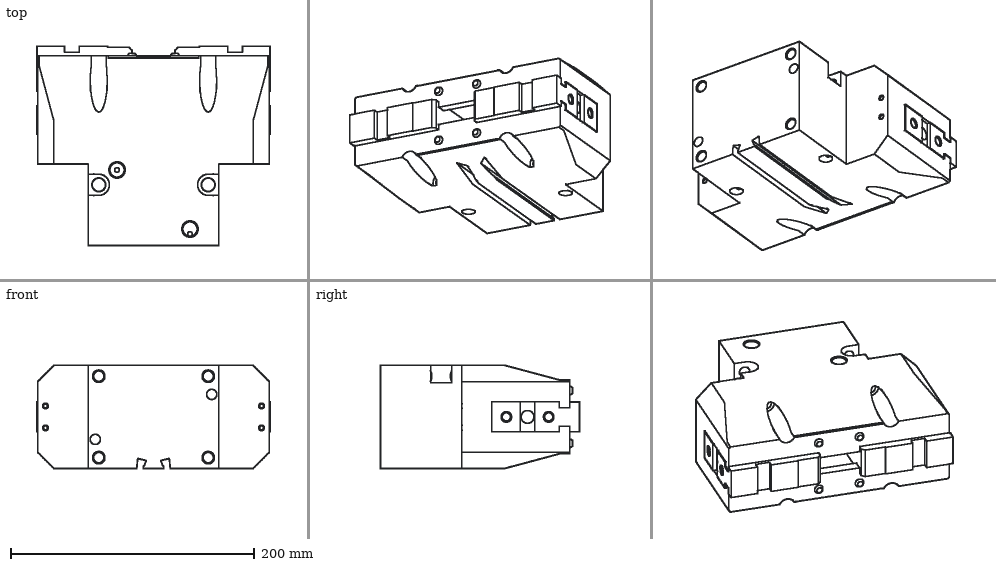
import cadquery as cq
import math

SIDES = (-1, 1)

housing_height = 85.0
half_height = housing_height / 2
head_half_width = 95.3
neck_half_width = 53.8
head_front_y = 67.0
housing_back_y = 156.0
corner_size = 13.4

nose_half_height = 30.5
nose_start_y = 147.2
taper_angle = 15.0
taper_start_y = nose_start_y - (half_height - nose_half_height) / math.tan(math.radians(taper_angle))

jaw_outer_x = 96.0
jaw_inner_x = 17.6
jaw_half_height = 12.4
jaw_slide_half_height = 7.6
jaw_bottom_y = 91.5
jaw_face_y = 164.0
jaw_face_inner_x = 37.7
jaw_relief = 0.7
jaw_nose_chamfer = 2.7
key_slot_x = 67.1
key_slot_width = 12.0
key_slot_depth = 4.8
side_slot_y = 121.1
side_slot_width = 12.0
side_slot_depth = 3.5
side_pin_diameter = 10.5
side_pin_depth = 12.0
side_screw_spacing = 34.8
side_thread_diameter = 6.8
side_thread_mouth = 8.6
side_thread_depth = 16.0

mount_x = 45.0
mount_z = 33.5
mount_core_diameter = 8.6
mount_mouth_diameter = 10.2
mount_bore_diameter = 14.0
mount_bore_bottom_y = 100.0

pocket_y = 50.0
pocket_radius = 8.7
pocket_depth = 14.3
pocket_hole_diameter = 11.0

dowel_x = 47.9
dowel_z = 18.5
dowel_diameter = 8.4
dowel_depth = 14.0

cover_screw_x = 88.9
cover_screw_z = 9.0
cover_thread_diameter = 3.3
cover_thread_mouth = 4.6
cover_thread_depth = 10.0

port_diameter = 11.8
port_mouth_diameter = 13.4
port_depth = 15.0
duct_diameter = 3.8
duct_depth = 10.0
air_ports = ((-30.0, 62.2, 0.0), (30.0, 13.6, -4.1))

sensor_groove_outline = ((13.7, 0), (12.9, 8.2), (6.2, 6.5), (7.4, 3.0), (8.5, 1.5), (8.5, 0))

edge_step_half_length = 37.3
edge_step_width = 2.1
edge_step_shoulder = 0.8
edge_step_depth = 0.3
button_x = 17.6
button_z = 21.7
button_radius = 3.6
button_flat_radius = 2.3
button_height = 2.1
button_mid_radius = 3.1
button_mid_height = 1.2

drill_tip_angle = 118.0


def drill(start, direction, diameter, depth, mouth=0.0):
    """Blind drilled hole with a conical bottom and, if mouth is given, a 45 degree countersink."""
    radius = diameter / 2
    tip = radius / math.tan(math.radians(drill_tip_angle / 2))
    vector = cq.Vector(*direction)
    origin = cq.Vector(*start)
    cutter = cq.Solid.makeCylinder(radius, depth, origin, vector)
    cutter = cutter.fuse(cq.Solid.makeCone(radius, 0, tip, origin + vector * depth, vector))
    if mouth:
        cutter = cutter.fuse(countersink(start, direction, diameter, mouth))
    return cutter


def countersink(start, direction, diameter, mouth):
    """45 degree cone from the mouth diameter down to the hole diameter."""
    depth = (mouth - diameter) / 2
    return cq.Solid.makeCone(mouth / 2, diameter / 2, depth, cq.Vector(*start), cq.Vector(*direction))


def block(x_range, y_range, z_range):
    """Axis-aligned box given by its limits."""
    low, high = zip(x_range, y_range, z_range)
    size = [b - a for a, b in zip(low, high)]
    return cq.Workplane("XY").box(*size, centered=False).translate(low)


def make_outer_shape():
    """Wide tapered head with bevelled corners, on a narrow mounting block."""
    head = (
        cq.Workplane("YZ")
        .polyline([
            (head_front_y, -half_height),
            (taper_start_y, -half_height),
            (nose_start_y, -nose_half_height),
            (housing_back_y, -nose_half_height),
            (housing_back_y, nose_half_height),
            (nose_start_y, nose_half_height),
            (taper_start_y, half_height),
            (head_front_y, half_height),
        ])
        .close()
        .extrude(head_half_width, both=True)
    )
    inner_x = head_half_width - corner_size
    inner_z = half_height - corner_size
    for side_x in SIDES:
        for side_z in SIDES:
            corner = (
                cq.Workplane("XZ")
                .polyline([
                    (side_x * inner_x, side_z * half_height),
                    (side_x * head_half_width, side_z * half_height),
                    (side_x * head_half_width, side_z * inner_z),
                ])
                .close()
                .extrude(-housing_back_y)
            )
            head = head.cut(corner)
    neck = block((-neck_half_width, neck_half_width), (0, head_front_y), (-half_height, half_height))
    return head.union(neck)


def cut_jaw_guide(body):
    """T-shaped guide for the jaws across the whole head."""
    wide = block(
        (-head_half_width, head_half_width),
        (jaw_bottom_y, nose_start_y),
        (-jaw_half_height, jaw_half_height),
    )
    narrow = block(
        (-head_half_width, head_half_width),
        (nose_start_y, housing_back_y),
        (-jaw_slide_half_height, jaw_slide_half_height),
    )
    return body.cut(wide).cut(narrow)


def cut_mounting_holes(body):
    """Four holes along Y, each with a threaded front end and a wide screw bore from the rear."""
    forward = (0, 1, 0)
    for side_x in SIDES:
        for side_z in SIDES:
            x = side_x * mount_x
            z = side_z * mount_z
            core = cq.Solid.makeCylinder(
                mount_core_diameter / 2, housing_back_y, cq.Vector(x, 0, z), cq.Vector(*forward)
            )
            bore = cq.Solid.makeCylinder(
                mount_bore_diameter / 2,
                housing_back_y - mount_bore_bottom_y,
                cq.Vector(x, mount_bore_bottom_y, z),
                cq.Vector(*forward),
            )
            mouth = countersink((x, 0, z), forward, mount_core_diameter, mount_mouth_diameter)
            body = body.cut(cq.Workplane(core)).cut(cq.Workplane(bore)).cut(cq.Workplane(mouth))
    return body


def cut_side_pockets(body):
    """Round-ended screw pockets open to the sides of the neck, with vertical through holes."""
    floor_z = half_height - pocket_depth
    for side in SIDES:
        x = side * mount_x
        round_end = cq.Workplane("XY", origin=(x, pocket_y, floor_z)).circle(pocket_radius).extrude(pocket_depth)
        opening = block(
            sorted((x, side * neck_half_width)),
            (pocket_y - pocket_radius, pocket_y + pocket_radius),
            (floor_z, half_height),
        )
        through = (
            cq.Workplane("XY", origin=(x, pocket_y, -half_height))
            .circle(pocket_hole_diameter / 2)
            .extrude(housing_height)
        )
        body = body.cut(round_end.union(opening)).cut(through)
    return body


def cut_front_holes(body):
    """Two diagonal dowel holes in the mounting face and four cover screw holes in the shoulders."""
    forward = (0, 1, 0)
    for side in SIDES:
        dowel = drill((side * dowel_x, 0, side * dowel_z), forward, dowel_diameter, dowel_depth)
        body = body.cut(cq.Workplane(dowel))
        for side_z in SIDES:
            start = (side * cover_screw_x, head_front_y, side_z * cover_screw_z)
            screw = drill(start, forward, cover_thread_diameter, cover_thread_depth, cover_thread_mouth)
            body = body.cut(cq.Workplane(screw))
    return body


def cut_air_ports(body):
    """Countersunk flat-bottomed ports in the top face, each with a small duct in its floor."""
    down = (0, 0, -1)
    for x, y, duct_offset in air_ports:
        top = (x, y, half_height)
        port = cq.Solid.makeCylinder(port_diameter / 2, port_depth, cq.Vector(*top), cq.Vector(*down))
        mouth = countersink(top, down, port_diameter, port_mouth_diameter)
        duct = drill((x, y + duct_offset, half_height - port_depth), down, duct_diameter, duct_depth)
        body = body.cut(cq.Workplane(port)).cut(cq.Workplane(mouth)).cut(cq.Workplane(duct))
    return body


def cut_sensor_grooves(body):
    """Two mirrored undercut grooves along the whole bottom face."""
    for side in SIDES:
        outline = [(side * x, height - half_height) for x, height in sensor_groove_outline]
        groove = cq.Workplane("XZ").polyline(outline).close().extrude(-housing_back_y)
        body = body.cut(groove)
    return body


def cut_edge_steps(body):
    """Shallow step with a sloped shoulder along the rear top and bottom edges."""
    shoulder_y = housing_back_y - edge_step_width
    for side in SIDES:
        top_z = side * nose_half_height
        floor_z = side * (nose_half_height - edge_step_depth)
        step = (
            cq.Workplane("YZ")
            .polyline([
                (shoulder_y, top_z),
                (shoulder_y + edge_step_shoulder, floor_z),
                (housing_back_y, floor_z),
                (housing_back_y, top_z),
            ])
            .close()
            .extrude(edge_step_half_length, both=True)
        )
        body = body.cut(step)
    return body


def add_button_heads(body):
    """Four rounded screw heads on the rear face, beside the jaw guide."""
    button = (
        cq.Workplane("XY")
        .moveTo(0, 0)
        .lineTo(button_radius, 0)
        .threePointArc((button_mid_radius, button_mid_height), (button_flat_radius, button_height))
        .lineTo(0, button_height)
        .close()
        .revolve(360, (0, 0, 0), (0, 1, 0))
    )
    for side_x in SIDES:
        for side_z in SIDES:
            body = body.union(button.translate((side_x * button_x, housing_back_y, side_z * button_z)))
    return body


def make_housing():
    body = make_outer_shape()
    body = cut_jaw_guide(body)
    body = cut_mounting_holes(body)
    body = cut_side_pockets(body)
    body = cut_front_holes(body)
    body = cut_air_ports(body)
    body = cut_sensor_grooves(body)
    body = cut_edge_steps(body)
    return add_button_heads(body)


def make_jaw(side):
    """T-shaped jaw; side is -1 for the jaw at negative X and 1 for its mirror image."""
    relief_y = jaw_face_y - jaw_relief
    key_floor_y = jaw_face_y - key_slot_depth
    key_outer_x = key_slot_x + key_slot_width / 2
    key_inner_x = key_slot_x - key_slot_width / 2
    side_floor_x = jaw_outer_x - side_slot_depth
    side_low_y = side_slot_y - side_slot_width / 2
    side_high_y = side_slot_y + side_slot_width / 2
    outline = [
        (jaw_inner_x, jaw_bottom_y),
        (jaw_outer_x, jaw_bottom_y),
        (jaw_outer_x, side_low_y),
        (side_floor_x, side_low_y),
        (side_floor_x, side_high_y),
        (jaw_outer_x, side_high_y),
        (jaw_outer_x, jaw_face_y),
        (key_outer_x, jaw_face_y),
        (key_outer_x, key_floor_y),
        (key_inner_x, key_floor_y),
        (key_inner_x, jaw_face_y),
        (jaw_face_inner_x, jaw_face_y),
        (jaw_face_inner_x, relief_y),
        (jaw_inner_x + jaw_nose_chamfer, relief_y),
        (jaw_inner_x, relief_y - jaw_nose_chamfer),
    ]
    jaw = (
        cq.Workplane("XY")
        .polyline([(side * x, y) for x, y in outline])
        .close()
        .extrude(jaw_half_height, both=True)
    )

    for side_z in SIDES:
        groove = block(
            sorted((side * jaw_inner_x, side * jaw_outer_x)),
            (nose_start_y, housing_back_y),
            sorted((side_z * jaw_slide_half_height, side_z * jaw_half_height)),
        )
        jaw = jaw.cut(groove)

    inward = (-side, 0, 0)
    pin = drill((side * side_floor_x, side_slot_y, 0), inward, side_pin_diameter, side_pin_depth)
    jaw = jaw.cut(cq.Workplane(pin))
    for offset in SIDES:
        start = (side * jaw_outer_x, side_slot_y + offset * side_screw_spacing / 2, 0)
        screw = drill(start, inward, side_thread_diameter, side_thread_depth, side_thread_mouth)
        jaw = jaw.cut(cq.Workplane(screw))
    return jaw


housing = make_housing()
jaws = [make_jaw(side) for side in SIDES]

result = cq.Compound.makeCompound([housing.val(), *[jaw.val() for jaw in jaws]])